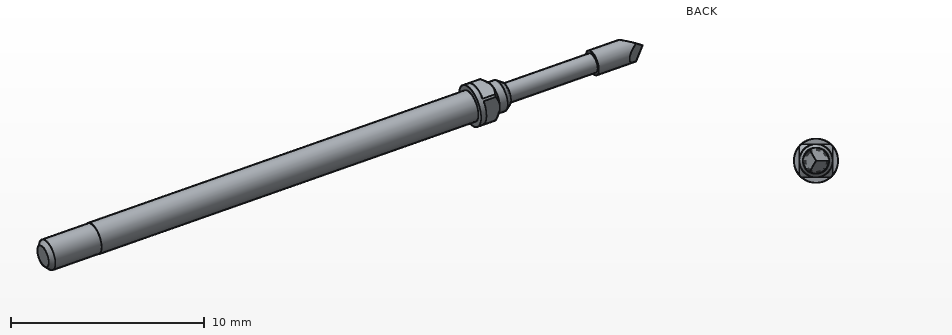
import cadquery as cq
import math

total_length = 35.8

head_length = 3.0
sleeve_start = 8.25
sleeve_cone_length = 0.32
square_start = 9.02
collar_start = 10.0
collar_thickness = 0.32

tail_length = 3.0
tail_chamfer = 0.25

head_diameter = 1.35
plunger_diameter = 1.07
sleeve_mouth_diameter = 1.3
barrel_diameter = 1.72
tail_diameter = 1.7
collar_diameter = 2.3

square_flats = 4
square_side = barrel_diameter
corner_bevel_angle = 40.0

tip_faces = 3
tip_face_angle = 30.0


def turned_body():
    """Round sections and the round blank for the square, as (radius, y) stations turned about Y."""
    head_radius = head_diameter / 2
    plunger_radius = plunger_diameter / 2
    barrel_radius = barrel_diameter / 2
    tail_radius = tail_diameter / 2
    collar_radius = collar_diameter / 2

    head_back = total_length - head_length
    sleeve_front = total_length - sleeve_start
    sleeve_shoulder = sleeve_front - sleeve_cone_length
    square_front = total_length - square_start
    bevel_length = (collar_radius - barrel_radius) * math.tan(math.radians(corner_bevel_angle))
    collar_back = total_length - collar_start - collar_thickness

    outline = [
        (0, 0),
        (tail_radius - tail_chamfer, 0),
        (tail_radius, tail_chamfer),
        (tail_radius, tail_length),
        (barrel_radius, tail_length),
        (barrel_radius, collar_back),
        (collar_radius, collar_back),
        (collar_radius, square_front - bevel_length),
        (barrel_radius, square_front),
        (barrel_radius, sleeve_shoulder),
        (sleeve_mouth_diameter / 2, sleeve_front),
        (plunger_radius, sleeve_front),
        (plunger_radius, head_back),
        (head_radius, head_back),
        (head_radius, total_length),
        (0, total_length),
    ]
    return cq.Workplane("XY").polyline(outline).close().revolve(360, (0, 0, 0), (0, 1, 0))


def flat_cutter():
    """Block that leaves one flat of the square, on the +X side of its round blank."""
    length = collar_start - square_start
    depth = collar_diameter
    block = cq.Workplane("XY").box(depth, length, depth)
    return block.translate(((square_side + depth) / 2, total_length - collar_start + length / 2, 0))


def tip_cutter():
    """Wedge that leaves one pyramid face, on the +X side of the head."""
    reach = head_diameter
    depth = reach / math.tan(math.radians(tip_face_angle))
    corners = [
        (0, total_length),
        (reach, total_length - depth),
        (reach, total_length),
    ]
    return cq.Workplane("XY").polyline(corners).close().extrude(head_diameter, both=True)


def cut_around(body, cutter, count):
    """Cut the same tool from the body at equal turns about the Y axis."""
    for index in range(count):
        body = body.cut(cutter.rotate((0, 0, 0), (0, 1, 0), index * 360 / count))
    return body


result = turned_body()
result = cut_around(result, flat_cutter(), square_flats)
result = cut_around(result, tip_cutter(), tip_faces)